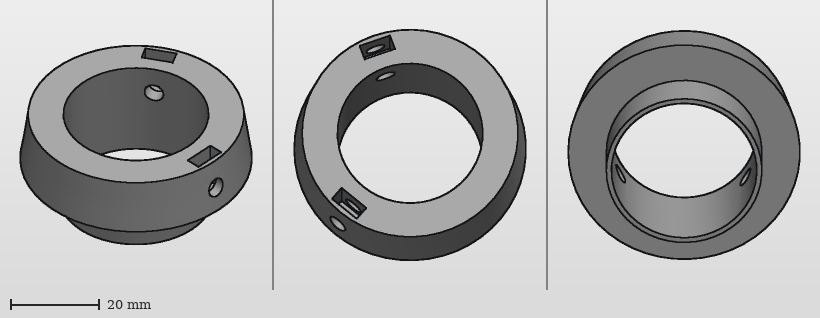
import cadquery as cq

flange_diameter = 52.2
top_diameter = 48.55
hub_diameter = 35.0
bore_diameter = 32.7
total_height = 23.6
hub_height = 10.8

screw_angles = (0, 120)
screw_diameter = 4.4
screw_height = 16.75
nut_inner_radius = 19.75
nut_thickness = 3.35
nut_width = 7.25
nut_side_offset = 0.15
nut_pocket_depth = total_height - screw_height + nut_width / 2


def make_body():
    """Revolve the hub and the tapered flange around the bore."""
    bore_radius = bore_diameter / 2
    hub_radius = hub_diameter / 2
    profile = [
        (bore_radius, 0),
        (hub_radius, 0),
        (hub_radius, hub_height),
        (flange_diameter / 2, hub_height),
        (top_diameter / 2, total_height),
        (bore_radius, total_height),
    ]
    return cq.Workplane("XZ").polyline(profile).close().revolve(360, (0, 0, 0), (0, 1, 0))


def make_screw_cut(angle):
    """Screw hole and nut pocket at one angle around Z."""
    screw_hole = (
        cq.Workplane("YZ")
        .center(0, screw_height)
        .circle(screw_diameter / 2)
        .extrude(flange_diameter / 2)
    )
    nut_pocket = (
        cq.Workplane("XY")
        .box(nut_thickness, nut_width, nut_pocket_depth, centered=(False, True, False))
        .translate((nut_inner_radius, nut_side_offset, total_height - nut_pocket_depth))
    )
    return screw_hole.union(nut_pocket).rotate((0, 0, 0), (0, 0, 1), angle)


result = make_body()
for screw_angle in screw_angles:
    result = result.cut(make_screw_cut(screw_angle))